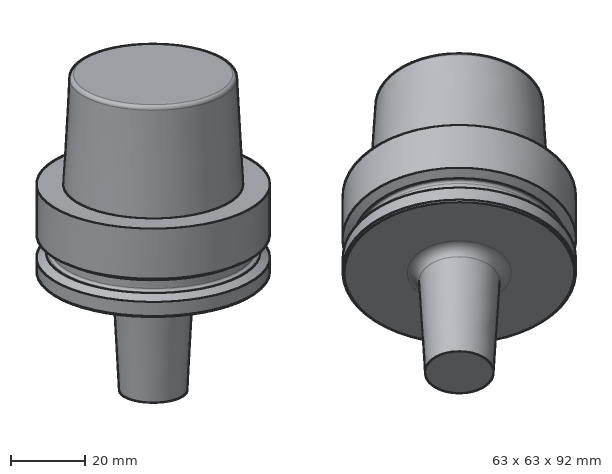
import cadquery as cq
import math


shank_length = 32.0
shank_base_diameter = 48.6
shank_top_diameter = 45.2
shank_edge_radius = 1.2

flange_diameter = 63.0
flange_thickness = 26.0
flange_edge_chamfer = 0.5

groove_floor_diameter = 55.0
groove_center_depth = 18.0
groove_floor_width = 3.75
groove_mouth_width = 6.75
groove_flank_angle = 60.0
groove_corner_radius = 0.75

nose_length = 34.0
nose_tip_diameter = 18.5
nose_half_angle = 3.0
nose_root_radius = 3.15

section_plane = cq.Plane(origin=(0, 0, 0), xDir=(0, -1, 0), normal=(-1, 0, 0))


def turn(points):
    """Revolve a closed (radius, height) outline one full turn about the Z axis."""
    outline = cq.Workplane(section_plane).polyline(points).close()
    return outline.revolve(360, (0, 0, 0), (0, 1, 0))


def make_shank():
    """Solid cone above the seating face, rounded around its top edge."""
    shank = turn([
        (0, 0),
        (shank_base_diameter / 2, 0),
        (shank_top_diameter / 2, shank_length),
        (0, shank_length),
    ])
    return shank.faces(">Z").edges().fillet(shank_edge_radius)


def make_flange_and_nose():
    """Flange disc and tapered nose, blended by a concave root fillet."""
    rim_radius = flange_diameter / 2
    tip_radius = nose_tip_diameter / 2
    root_radius = tip_radius + nose_length * math.tan(math.radians(nose_half_angle))
    tip_height = -flange_thickness - nose_length
    body = turn([
        (0, 0),
        (rim_radius, 0),
        (rim_radius, flange_edge_chamfer - flange_thickness),
        (rim_radius - flange_edge_chamfer, -flange_thickness),
        (root_radius, -flange_thickness),
        (tip_radius, tip_height),
        (0, tip_height),
    ])
    root_edge = body.edges("%CIRCLE").edges(cq.selectors.RadiusNthSelector(1))
    return root_edge.fillet(nose_root_radius)


def make_groove_cutter():
    """Ring that fills the groove, rounded along both corners of its floor."""
    floor_radius = groove_floor_diameter / 2
    rim_radius = flange_diameter / 2
    half_floor = groove_floor_width / 2
    half_mouth = groove_mouth_width / 2
    flank_depth = (half_mouth - half_floor) * math.tan(math.radians(groove_flank_angle))
    flank_start_radius = rim_radius - flank_depth
    ring = turn([
        (floor_radius, -half_floor),
        (flank_start_radius, -half_floor),
        (rim_radius, -half_mouth),
        (rim_radius, half_mouth),
        (flank_start_radius, half_floor),
        (floor_radius, half_floor),
    ])
    floor_corners = ring.edges("%CIRCLE").edges(cq.selectors.RadiusNthSelector(0))
    return floor_corners.fillet(groove_corner_radius).translate((0, 0, -groove_center_depth))


result = make_flange_and_nose().union(make_shank()).cut(make_groove_cutter())